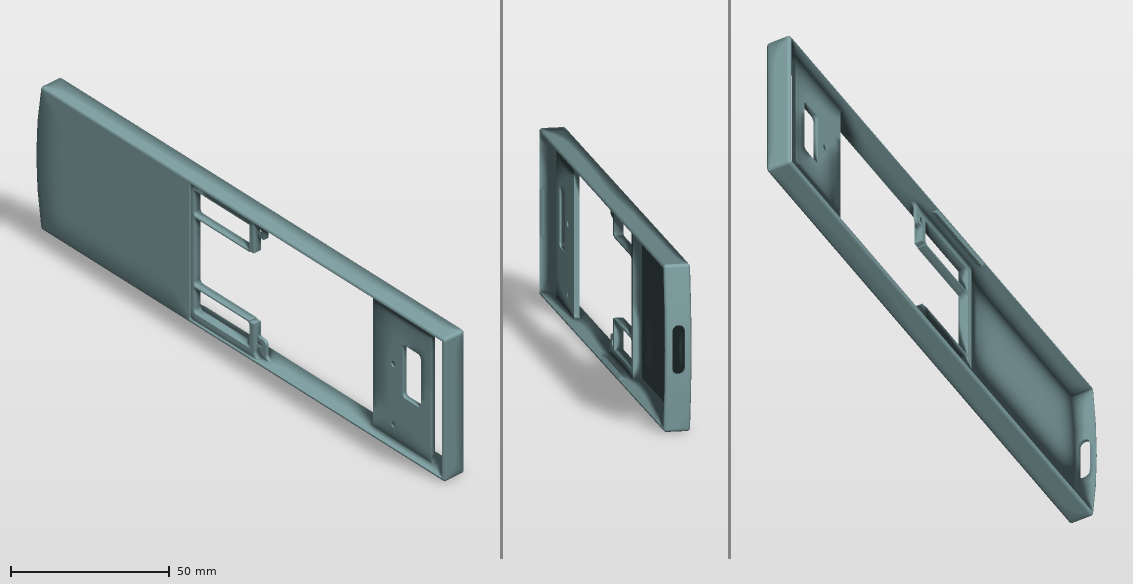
import cadquery as cq

LENGTH = 194.7
DEPTH = 8.5
HEIGHT = 54.3
WALL = 1.2
EDGE_ROUND = 1.0
CORNER_ROUND = 1.2

FRONT = -DEPTH / 2
BACK = DEPTH / 2
PANEL_THICKNESS = 1.0
SEAT = FRONT + PANEL_THICKNESS
INSIDE_Z = HEIGHT / 2 - WALL
INSIDE_X = LENGTH - WALL

BOW = 2.5
SLOT_LENGTH = 16.0
SLOT_WIDTH = 4.0

PANEL_END = 73.2
PANEL_CORNER = 1.0

LEDGE_BACK = -0.3
LEDGE_STRIP_END = 74.2
LEDGE_END = 102.8
LEDGE_END_FILLET = 2.1
WINDOW_OUTER_Z = 23.4
WINDOW_CORNER = 1.4

BAR_OUTER_Z = 13.6
BAR_THICKNESS = 0.5
POST_OVERLAP = 0.2
POST_START = 100.9
POST_OUTER_Z = 23.8

TAB_FRONT = -1.46
TAB_END = 106.5
TAB_INNER_Z = 19.0
TAB_CORNER = 1.5
TAB_FILLET = 2.0
TAB_POST_FILLET = 1.0
SCREW_HOLE = 2.1
TAB_HOLE_X = 103.5
TAB_HOLE_Z = 21.5

PLATE_START = 156.8
PLATE_END = 184.2
PLATE_BACK = 0.88
PLATE_THICKNESS = 1.8
PLATE_FILLET = 1.4
PLATE_HOLE_X = 166.5
PLATE_HOLES_Z = (2.3, -20.6)
PLATE_WINDOW_X = (170.8, 179.5)
PLATE_WINDOW_Z = (-8.0, 12.0)
PLATE_WINDOW_CORNER = 1.5

RIDGE_RISE = 1.0
RIDGE_FOOT = 2.0
RIDGE_CREST = 3.5
END_RIDGE_LENGTH = 15.2
SIDE_RIDGE_LENGTH = 29.2
SIDE_RIDGE_END = 100.9


def box(x_range, y_range, z_range):
    """Block between two limits along each axis."""
    (x0, x1), (y0, y1), (z0, z1) = x_range, y_range, z_range
    return cq.Workplane("XY").box(x1 - x0, y1 - y0, z1 - z0, centered=False).translate((x0, y0, z0))


def both_sides(body):
    """The body and its mirror image across the middle plane Z = 0."""
    return [body, body.mirror("XY")]


def round_hole(x, z, diameter):
    """Cutter for a hole that runs through the case along Y."""
    return cq.Workplane("XZ", origin=(x, 0, z)).circle(diameter / 2).extrude(DEPTH, both=True)


def corner_fillet(corner, x_side, z_side, radius, y_range):
    """Concave fillet that fills an inside corner (x, z); the sides are the signs it spreads to."""
    x, z = corner
    centre_x = x + x_side * radius
    centre_z = z + z_side * radius
    block = box(sorted((x, centre_x)), y_range, sorted((z, centre_z)))
    return block.cut(round_hole(centre_x, centre_z, 2 * radius))


def case_outline():
    """Case profile in the XZ plane."""
    half = HEIGHT / 2
    outline = cq.Workplane("XZ", origin=(0, BACK, 0)).moveTo(BOW, half)
    outline = outline.threePointArc((0, 0), (BOW, -half))
    return outline.lineTo(LENGTH, -half).lineTo(LENGTH, half).close()


def make_shell():
    """Rounded case with a front panel, an open back and a slot in the bowed end."""
    shell = case_outline().extrude(DEPTH)
    shell = shell.edges("|Y").fillet(CORNER_ROUND)
    shell = shell.faces("<Y or >Y").edges().fillet(EDGE_ROUND)
    cavity = case_outline().offset2D(-WALL, "intersection").extrude(DEPTH - PANEL_THICKNESS)
    opening = box((PANEL_END, INSIDE_X), (FRONT, SEAT), (-INSIDE_Z, INSIDE_Z))
    opening = opening.edges("|Y and <X").fillet(PANEL_CORNER)
    slot = cq.Workplane("YZ").slot2D(SLOT_LENGTH, SLOT_WIDTH, 90).extrude(2 * WALL)
    return shell.cut(cavity).cut(opening).cut(slot)


def make_ledge():
    """Strip behind the panel edge, and a flange along each long wall."""
    y_range = (SEAT, LEDGE_BACK)
    ledge = box((PANEL_END - WALL, LEDGE_STRIP_END), y_range, (-INSIDE_Z, INSIDE_Z))
    flange = box((PANEL_END, LEDGE_END), y_range, (WINDOW_OUTER_Z, INSIDE_Z))
    flange = flange.union(corner_fillet((LEDGE_END, INSIDE_Z), 1, -1, LEDGE_END_FILLET, y_range))
    window_corner = corner_fillet((LEDGE_STRIP_END, WINDOW_OUTER_Z), 1, -1, WINDOW_CORNER, y_range)
    flange = flange.union(window_corner)
    for side in both_sides(flange):
        ledge = ledge.union(side)
    return ledge


def make_tab():
    """Tab on the +Z wall with a screw hole."""
    y_range = (TAB_FRONT, LEDGE_BACK)
    tab = box((POST_START, TAB_END), y_range, (TAB_INNER_Z, INSIDE_Z))
    tab = tab.edges("|Y and >X and <Z").fillet(TAB_CORNER)
    tab = tab.union(corner_fillet((TAB_END, INSIDE_Z), 1, -1, TAB_FILLET, y_range))
    tab = tab.union(corner_fillet((LEDGE_END, TAB_INNER_Z), 1, -1, TAB_POST_FILLET, y_range))
    return tab.cut(round_hole(TAB_HOLE_X, TAB_HOLE_Z, SCREW_HOLE))


def make_cross_plate():
    """Plate that joins the long walls, with a window and two holes."""
    y_range = (PLATE_BACK - PLATE_THICKNESS, PLATE_BACK)
    plate = box((PLATE_START, PLATE_END), y_range, (-INSIDE_Z, INSIDE_Z))
    for x, direction in ((PLATE_START, -1), (PLATE_END, 1)):
        fillet = corner_fillet((x, INSIDE_Z), direction, -1, PLATE_FILLET, y_range)
        for side in both_sides(fillet):
            plate = plate.union(side)
    window = box(PLATE_WINDOW_X, (FRONT, BACK), PLATE_WINDOW_Z).edges("|Y").fillet(PLATE_WINDOW_CORNER)
    plate = plate.cut(window)
    for z in PLATE_HOLES_Z:
        plate = plate.cut(round_hole(PLATE_HOLE_X, z, SCREW_HOLE))
    return plate


def make_rail():
    """Bar and post on the +Z side; the post straddles the screw tab."""
    y_range = (SEAT, LEDGE_BACK)
    bar_inner_z = BAR_OUTER_Z - BAR_THICKNESS
    bar = box((PANEL_END, POST_START), y_range, (bar_inner_z, BAR_OUTER_Z))
    post = box((POST_START, LEDGE_END), y_range, (BAR_OUTER_Z - POST_OVERLAP, POST_OUTER_Z))
    tab_gap = box((POST_START, LEDGE_END), (TAB_FRONT, LEDGE_BACK), (TAB_INNER_Z, INSIDE_Z))
    rail = bar.union(post).cut(tab_gap)
    corners = (
        ((LEDGE_STRIP_END, BAR_OUTER_Z), 1, 1),
        ((LEDGE_STRIP_END, bar_inner_z), 1, -1),
        ((POST_START, BAR_OUTER_Z), -1, 1),
    )
    for corner, x_side, z_side in corners:
        rail = rail.union(corner_fillet(corner, x_side, z_side, WINDOW_CORNER, y_range))
    return rail


def make_end_ridge():
    """Ridge on the inside of the plain end wall."""
    points = [(INSIDE_X, RIDGE_FOOT), (INSIDE_X - RIDGE_RISE, RIDGE_CREST), (INSIDE_X, BACK)]
    return cq.Workplane("XY").polyline(points).close().extrude(END_RIDGE_LENGTH / 2, both=True)


def make_side_ridge():
    """Ridge on the inside of the +Z wall."""
    points = [(RIDGE_FOOT, INSIDE_Z), (RIDGE_CREST, INSIDE_Z - RIDGE_RISE), (BACK, INSIDE_Z)]
    start = (SIDE_RIDGE_END - SIDE_RIDGE_LENGTH, 0, 0)
    return cq.Workplane("YZ", origin=start).polyline(points).close().extrude(SIDE_RIDGE_LENGTH)


rails = both_sides(make_rail())
side_ridges = both_sides(make_side_ridge())
end_ridge = make_end_ridge()

housing = make_shell().union(make_ledge()).union(make_cross_plate())
for tab in both_sides(make_tab()):
    housing = housing.union(tab)
for rail in rails:
    housing = housing.cut(rail)

result = cq.Compound.makeCompound(
    [housing.val(), end_ridge.val(), *[rail.val() for rail in rails], *[ridge.val() for ridge in side_ridges]]
)